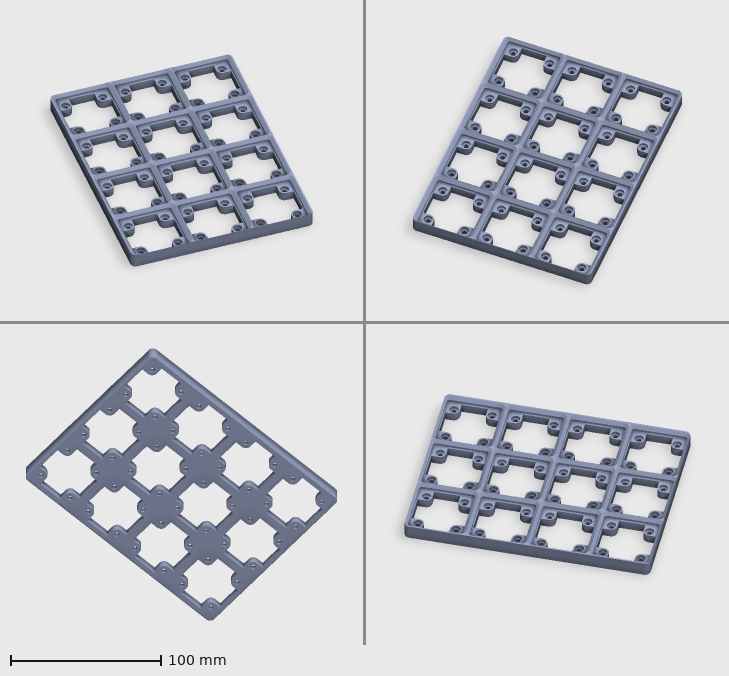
import cadquery as cq

length = 167.5
width = 128.0
height = 10.9
corner_radius = 3.7
bottom_chamfer = 0.5

columns = 4
rows = 3
end_overhang = 0.25
pitch = (length + 2 * end_overhang) / columns

socket_corner_radius = 4.0
upper_slope = 2.2
straight_wall = 1.7
lower_slope = 0.7
seat_height = height - upper_slope - straight_wall - lower_slope
throat_size = pitch - 2 * (upper_slope + lower_slope)
throat_radius = socket_corner_radius - upper_slope - lower_slope

hole_spacing = 26.0
hole_diameter = 3.2
counterbore_diameter = 6.0
counterbore_depth = 2.0
pad_margin = 4.0


def rounded_block(size, radius, bottom, top):
    """Square block with rounded vertical edges, between two heights."""
    return (
        cq.Workplane("XY", origin=(0, 0, bottom))
        .rect(size, size)
        .extrude(top - bottom)
        .edges("|Z")
        .fillet(radius)
    )


def slope(size, radius, top, drop):
    """Rounded square that narrows downwards at 45 degrees."""
    outline = cq.Sketch().rect(size, size).vertices().fillet(radius)
    return cq.Workplane("XY", origin=(0, 0, top)).placeSketch(outline).extrude(-drop, taper=45)


def socket():
    """Space above the seat of one cell."""
    wall_size = pitch - 2 * upper_slope
    wall_radius = socket_corner_radius - upper_slope
    wall_top = height - upper_slope
    wall_bottom = wall_top - straight_wall
    upper = slope(pitch, socket_corner_radius, height, upper_slope)
    middle = rounded_block(wall_size, wall_radius, wall_bottom, wall_top)
    lower = slope(wall_size, wall_radius, wall_bottom, lower_slope)
    return upper.union(middle).union(lower)


def corner_pad():
    """Pad in the +X +Y corner of the throat, rounded around its hole."""
    inner_side = hole_spacing / 2 - pad_margin
    pad_size = throat_size / 2 - inner_side
    return (
        cq.Workplane("XY", origin=(inner_side, inner_side, 0))
        .rect(pad_size, pad_size, centered=False)
        .extrude(seat_height)
        .edges("|Z and <X and <Y")
        .fillet(pad_margin)
    )


def pad_cylinders(diameter, bottom):
    """Four cylinders on the hole centers, from a height up to the seat."""
    return (
        cq.Workplane("XY", origin=(0, 0, bottom))
        .rect(hole_spacing, hole_spacing, forConstruction=True)
        .vertices()
        .circle(diameter / 2)
        .extrude(seat_height - bottom)
    )


def cell_opening():
    """Everything removed from the plate for one cell."""
    opening = rounded_block(throat_size, throat_radius, 0, seat_height)
    pad = corner_pad()
    for quarter_turn in range(4):
        opening = opening.cut(pad.rotate((0, 0, 0), (0, 0, 1), 90 * quarter_turn))
    holes = pad_cylinders(hole_diameter, 0)
    counterbores = pad_cylinders(counterbore_diameter, seat_height - counterbore_depth)
    return opening.union(holes).union(counterbores).union(socket())


def solid_plate():
    """Plate before the cells are cut, with its bottom edge chamfered."""
    return (
        cq.Workplane("XY")
        .rect(length, width)
        .extrude(height)
        .edges("|Z")
        .fillet(corner_radius)
        .faces("<Z")
        .edges()
        .chamfer(bottom_chamfer)
    )


result = solid_plate()
opening = cell_opening()
for column in range(columns):
    for row in range(rows):
        x = (column - (columns - 1) / 2) * pitch
        y = (row - (rows - 1) / 2) * pitch
        result = result.cut(opening.translate((x, y, 0)))